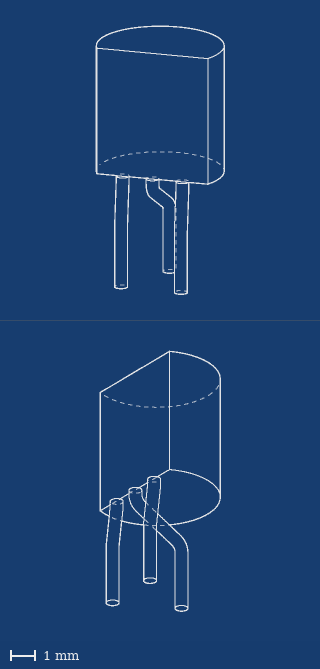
import cadquery as cq
import math

overall_height = 10.01
body_diameter = 5.2
body_height = 5.36
flat_offset = 1.09

leg_diameter = 0.53
leg_pitch = 1.27
leg_length = overall_height - body_height
foot_length = 2.54
stub_length = 0.2
stub_y = -1.06
bend_radius = leg_diameter


def make_body():
    """Cylinder trimmed by the flat on its -Y side."""
    radius = body_diameter / 2
    flat_half_width = math.sqrt(radius**2 - flat_offset**2)
    return (
        cq.Workplane("XY")
        .moveTo(-flat_half_width, -flat_offset)
        .threePointArc((0, radius), (flat_half_width, -flat_offset))
        .close()
        .extrude(body_height)
    )


def make_leg(x, foot_y):
    """Wire running down from the body and stepping sideways to foot_y through two equal bends."""
    shift = foot_y - stub_y
    side = math.copysign(1, shift)
    reach = abs(shift) - 2 * bend_radius
    drop = leg_length - stub_length - foot_length

    slope_length = math.sqrt(drop**2 + reach**2 - (2 * bend_radius)**2)
    bend_angle = math.atan2(reach, drop) + math.atan2(2 * bend_radius, slope_length)

    def bend_offset(angle):
        """Sideways and vertical travel along a bend, measured from its vertical end."""
        return side * bend_radius * (1 - math.cos(angle)), bend_radius * math.sin(angle)

    middle_y, middle_z = bend_offset(bend_angle / 2)
    end_y, end_z = bend_offset(bend_angle)
    stub_end_z = -stub_length
    foot_top_z = foot_length - leg_length

    path = (
        cq.Workplane("YZ", origin=(x, 0, 0))
        .moveTo(stub_y, 0)
        .lineTo(stub_y, stub_end_z)
        .threePointArc((stub_y + middle_y, stub_end_z - middle_z), (stub_y + end_y, stub_end_z - end_z))
        .lineTo(foot_y - end_y, foot_top_z + end_z)
        .threePointArc((foot_y - middle_y, foot_top_z + middle_z), (foot_y, foot_top_z))
        .lineTo(foot_y, -leg_length)
    )
    return cq.Workplane("XY", origin=(x, stub_y, 0)).circle(leg_diameter / 2).sweep(path)


body = make_body()

legs = []
for position in (-1, 0, 1):
    foot_y = leg_pitch if position == 0 else -leg_pitch
    legs.append(make_leg(position * leg_pitch, foot_y))

result = cq.Compound.makeCompound([body.val(), *[leg.val() for leg in legs]])